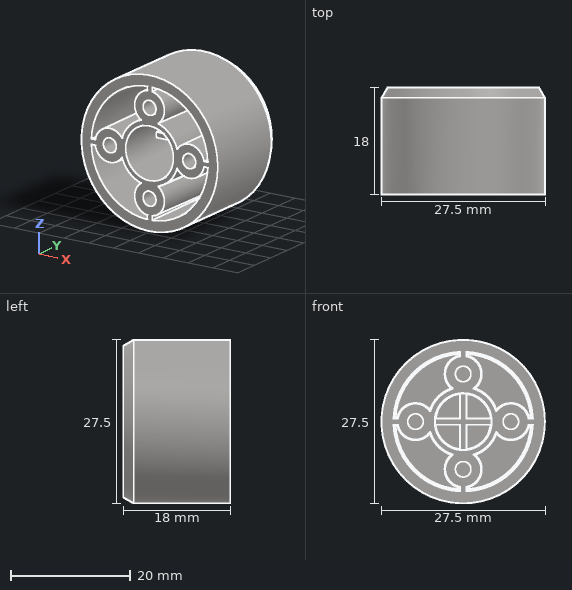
import cadquery as cq
import math

outer_radius = 13.75
length = 18.0
chamfer_length = 1.75
chamfer_angle = 30.0
chamfer_depth = chamfer_length * math.tan(math.radians(chamfer_angle))

draft_angle = 0.5
floor_thickness = 1.38
cavity_depth = length - floor_thickness
draft_inset = cavity_depth * math.tan(math.radians(draft_angle))

cavity_mouth_radius = 11.75
cone_length = 0.4
cone_inset = cone_length * math.tan(math.radians(chamfer_angle))

tube_radius = 5.8
bore_radius = 4.8
boss_count = 4
boss_radius = 3.0
boss_circle_radius = 8.0
boss_hole_diameter = 2.6

rib_width = 1.0
cross_height = 7.42
wall_overlap = 0.28


def open_end_plane(y=0.0):
    """Plane facing the closed end (+Y), with local x along X."""
    return cq.Workplane("XZ", origin=(0, y, 0))


def drafted_post(radius, x=0.0):
    """Round post from the open end to the floor, thicker towards the floor."""
    return (
        open_end_plane()
        .center(x, 0)
        .circle(radius)
        .extrude(-cavity_depth, taper=-draft_angle)
    )


def around_axis(shape):
    """One copy of the shape for each boss position, joined together."""
    step = 360.0 / boss_count
    copies = shape
    for index in range(1, boss_count):
        copies = copies.union(shape.rotate((0, 0, 0), (0, 1, 0), index * step))
    return copies


def make_shell():
    """Chamfered cup: the half section is revolved about the Y axis."""
    cone_start_radius = cavity_mouth_radius - draft_inset
    section = [
        (cavity_mouth_radius, 0),
        (outer_radius, 0),
        (outer_radius, length - chamfer_length),
        (outer_radius - chamfer_depth, length),
        (0, length),
        (0, cavity_depth),
        (cone_start_radius - cone_inset, cavity_depth),
        (cone_start_radius, cavity_depth - cone_length),
    ]
    return cq.Workplane("XY").polyline(section).close().revolve(360, (0, 0, 0), (0, 1, 0))


def make_wall_rib():
    """Full-height rib from a boss to the outer wall."""
    rib_length = cavity_mouth_radius - boss_circle_radius + wall_overlap
    return (
        open_end_plane()
        .center(boss_circle_radius + rib_length / 2, 0)
        .rect(rib_length, rib_width)
        .extrude(-cavity_depth)
    )


def make_bore():
    """Central blind bore, narrower towards the floor."""
    return open_end_plane().circle(bore_radius).extrude(-cavity_depth, taper=draft_angle)


def make_boss_hole():
    """Straight blind screw hole, as deep as the cavity."""
    return (
        open_end_plane()
        .center(boss_circle_radius, 0)
        .circle(boss_hole_diameter / 2)
        .extrude(-cavity_depth)
    )


def make_cross():
    """Crossed ribs standing on the floor of the bore, ending inside the tube wall."""
    span = tube_radius + bore_radius
    top = open_end_plane(cavity_depth - cross_height)
    rib_x = top.rect(span, rib_width).extrude(-cross_height, taper=-draft_angle)
    rib_z = top.rect(rib_width, span).extrude(-cross_height, taper=-draft_angle)
    return rib_x.union(rib_z)


bosses = around_axis(drafted_post(boss_radius, boss_circle_radius))
wall_ribs = around_axis(make_wall_rib())

result = (
    make_shell()
    .union(drafted_post(tube_radius))
    .union(bosses)
    .union(wall_ribs)
    .cut(make_bore())
    .cut(around_axis(make_boss_hole()))
    .union(make_cross())
)